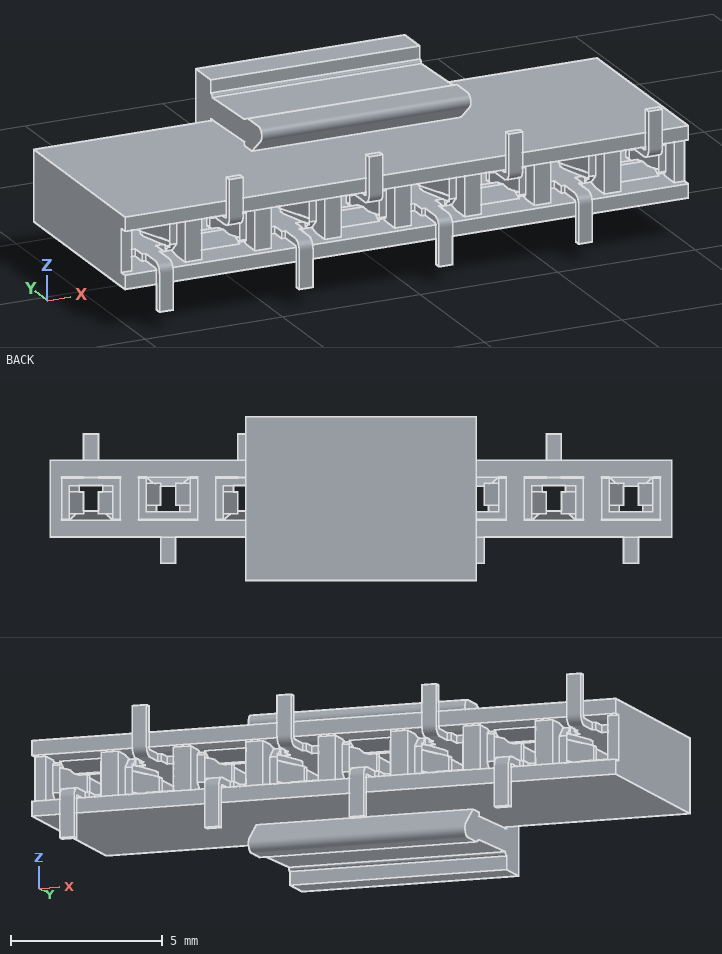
import cadquery as cq


contact_count = 8
pitch = 2.54
end_margin = 1.35
housing_width = (contact_count - 1) * pitch + 2 * end_margin
housing_depth = 7.1
housing_height = 2.54
cell_width = 1.94
recess_height = 1.54
cell_height = 1.42
recess_depth = 0.29
ramp_start = 0.95
ramp_end = 1.25

cap_width = 7.6
cap_height = 5.4
cap_thickness = 1.17
arm_root_inner = 1.33
arm_root_outer = 2.12
arm_spread = 0.07
arm_root_radius = 0.12
hook_start = 2.60
hook_outer_start = 2.88
hook_heel = 3.20
hook_round_start = 3.67
hook_outer = 2.31
hook_flank_z = 1.84
hook_flank = 3.87

sheet = 0.25
contact_reach = 0.33
leg_width = 0.5
leg_end_z = 2.13
bend_inner_radius = 0.09
base_bottom = -0.68
base_top = base_bottom + sheet
contact_front = ramp_start
contact_back = 6.0
shoulder_width = 0.76
shoulder_length = 0.2
side_top = 0.68
side_chamfer_top = 0.09
side_chamfer_bottom = 0.34
side_inner = cell_width / 2 - sheet
side_leaf_length = 1.3
top_leaf_length = 0.7
throat_width = 0.49
side_leaf_bottom = -0.22
side_leaf_top = 0.5
corner_leaf_gap = 0.76
top_leaf_tip_z = 0.40
top_leaf_tip_width = 0.76


def cell_x(index):
    """X of a contact's centre plane."""
    return (index - (contact_count - 1) / 2) * pitch


def block(x_range, y_range, z_range):
    """Box between pairs of limits."""
    (x0, x1), (y0, y1), (z0, z1) = x_range, y_range, z_range
    return cq.Workplane("XY").box(x1 - x0, y1 - y0, z1 - z0, centered=False).translate((x0, y0, z0))


def cell_void():
    """Opening for one contact, through the whole housing and lower behind its entry ramps."""
    profile = cq.Workplane("YZ").polyline([
        (0, -recess_height / 2),
        (ramp_start, -recess_height / 2),
        (ramp_end, -cell_height / 2),
        (housing_depth, -cell_height / 2),
        (housing_depth, cell_height / 2),
        (ramp_end, cell_height / 2),
        (ramp_start, recess_height / 2),
        (0, recess_height / 2),
    ])
    return profile.close().extrude(cell_width / 2, both=True)


def latch_arm():
    """Upper latch arm, its profile in the YZ plane extruded over the cap's width."""
    mating = housing_depth
    arm = (
        cq.Workplane("YZ")
        .moveTo(mating, arm_root_inner)
        .lineTo(mating - hook_start, arm_root_inner + arm_spread)
        .lineTo(mating - hook_start, housing_height / 2)
        .lineTo(mating - hook_heel, housing_height / 2)
        .lineTo(mating - hook_flank, hook_flank_z)
        .tangentArcPoint((mating - hook_round_start, hook_outer), relative=False)
        .lineTo(mating - hook_outer_start, hook_outer)
        .lineTo(mating - hook_start, arm_root_outer + arm_spread)
        .lineTo(mating - arm_root_radius, arm_root_outer)
        .radiusArc((mating, arm_root_outer + arm_root_radius), arm_root_radius)
        .close()
    )
    return arm.extrude(cap_width / 2, both=True)


def make_housing():
    """Housing block with its open cells, the pick-up cap and the latch arms in one piece."""
    half_width = housing_width / 2
    slot_z = (-recess_height / 2, recess_height / 2)
    body = block((-half_width, half_width), (0, housing_depth), (-housing_height / 2, housing_height / 2))
    body = body.cut(block((-half_width, half_width), (0, recess_depth), slot_z))
    for index in range(contact_count):
        body = body.cut(cell_void().translate((cell_x(index), 0, 0)))
    cap = block(
        (-cap_width / 2, cap_width / 2),
        (housing_depth, housing_depth + cap_thickness),
        (-cap_height / 2, cap_height / 2),
    )
    upper_arm = latch_arm()
    return body.union(cap).union(upper_arm).union(upper_arm.mirror("XY"))


def contact_leg():
    """Soldering leg: runs out of the cell along the base and bends down the housing's face."""
    outer_radius = bend_inner_radius + sheet
    front = -contact_reach
    bend_y = front + outer_radius
    bend_z = base_top - outer_radius
    leg = (
        cq.Workplane("YZ")
        .moveTo(contact_front + sheet, base_top)
        .lineTo(bend_y, base_top)
        .radiusArc((front, bend_z), -outer_radius)
        .lineTo(front, -leg_end_z)
        .lineTo(front + sheet, -leg_end_z)
        .lineTo(front + sheet, bend_z)
        .radiusArc((bend_y, base_bottom), bend_inner_radius)
        .lineTo(contact_front + sheet, base_bottom)
        .close()
    )
    return leg.extrude(leg_width / 2, both=True)


def side_wall():
    """Wall on the +X side, with its two front corners cut off."""
    wall = (
        cq.Workplane("YZ")
        .moveTo(contact_front, side_top - side_chamfer_top)
        .lineTo(contact_front + side_chamfer_top, side_top)
        .lineTo(contact_back, side_top)
        .lineTo(contact_back, base_bottom)
        .lineTo(contact_front + side_chamfer_bottom, base_bottom)
        .lineTo(contact_front, base_bottom + side_chamfer_bottom)
        .close()
    )
    return wall.extrude(sheet).translate((side_inner, 0, 0))


def side_leaf(tip_gap, z_bottom, z_top):
    """Strip sloping inward from the +X wall as it runs back."""
    leaf_back = contact_front + side_leaf_length
    leaf = (
        cq.Workplane("XY")
        .moveTo(side_inner, contact_front)
        .lineTo(tip_gap / 2, leaf_back)
        .lineTo(tip_gap / 2, leaf_back + sheet)
        .lineTo(side_inner, contact_front + 2 * sheet)
        .close()
    )
    return leaf.extrude(z_top - z_bottom).translate((0, 0, z_bottom))


def top_leaf():
    """Leaf sloping down from between the walls' top edges, narrowing to its tip."""
    leaf_back = contact_front + top_leaf_length
    root_z = cell_height / 2
    profile = (
        cq.Workplane("YZ")
        .moveTo(contact_front, root_z)
        .lineTo(leaf_back, top_leaf_tip_z)
        .lineTo(leaf_back + sheet, top_leaf_tip_z)
        .lineTo(contact_front + 2 * sheet, root_z)
        .close()
        .extrude(side_inner, both=True)
    )
    outline = (
        cq.Workplane("XY")
        .polyline([
            (-side_inner, contact_front),
            (side_inner, contact_front),
            (side_inner, contact_front + 2 * sheet),
            (top_leaf_tip_width / 2, leaf_back + sheet),
            (-top_leaf_tip_width / 2, leaf_back + sheet),
            (-side_inner, contact_front + 2 * sheet),
        ])
        .close()
        .extrude(cell_height)
    )
    return profile.intersect(outline)


def make_contact():
    """Contact with its leg at the bottom, centred on x = 0."""
    base_z = (base_bottom, base_top)
    base_front = contact_front + side_chamfer_bottom
    shoulder_front = contact_front - shoulder_length
    contact = block((-side_inner, side_inner), (base_front, contact_back), base_z)
    contact = contact.union(
        block((-shoulder_width / 2, shoulder_width / 2), (shoulder_front, base_front), base_z)
    )
    contact = contact.union(contact_leg()).union(top_leaf())
    right_side = (
        side_wall()
        .union(side_leaf(throat_width, side_leaf_bottom, side_leaf_top))
        .union(side_leaf(corner_leaf_gap, base_top, side_leaf_bottom))
    )
    return contact.union(right_side).union(right_side.mirror("YZ"))


housing = make_housing()

contact_shape = make_contact()
contacts = []
for index in range(contact_count):
    turn = 180 * (index % 2)
    contact = contact_shape.rotate((0, 0, 0), (0, 1, 0), turn).translate((cell_x(index), 0, 0))
    contacts.append(contact.val())

result = cq.Compound.makeCompound([housing.val(), *contacts])